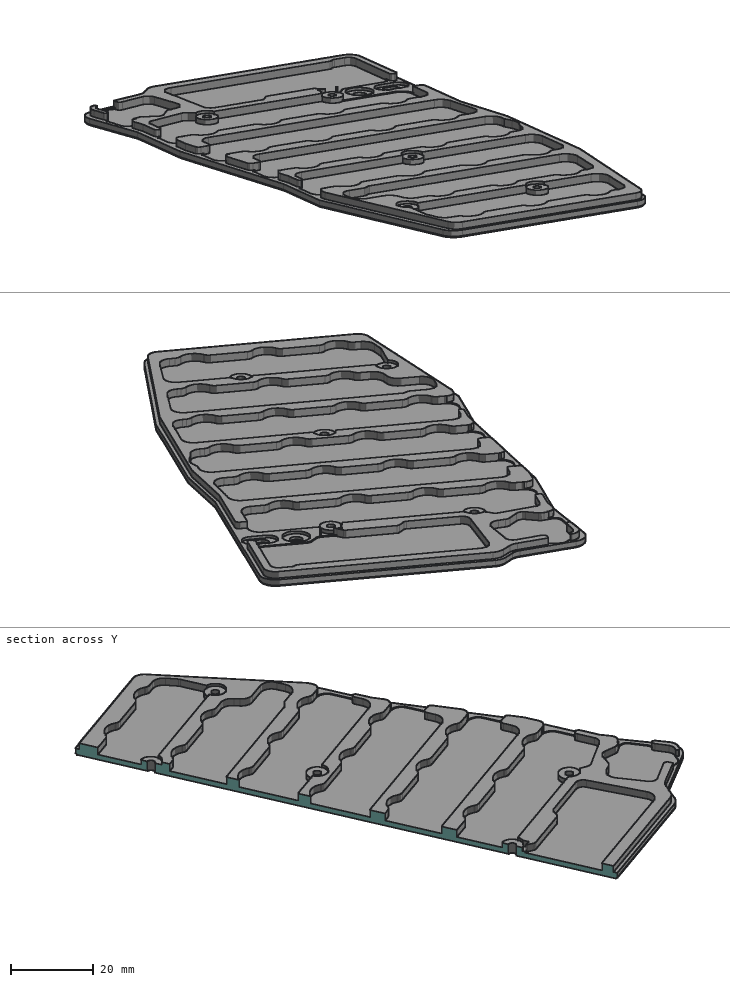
import cadquery as cq
import math


total_height = 3.6
ledge_z = 1.9
boss_z = 2.9
boss_root_z = 0.7
floor_z = 1.6
switch_seat_z = 1.2
bottom_chamfer = 0.5

length = 144.0
back_y = 86.2
left_back_y = 83.2
side_ledge = 1.0
front_ledge = 1.6
corner_radius = 4.0
pocket_radius = 3.0
bend_radius = 2.0
small_radius = 1.0
overcut = 2.9

first_column_x = 27.7
last_column_x = 123.0
column_count = 6
column_pitch = (last_column_x - first_column_x) / (column_count - 1)
column_width = 15.0
row_pitch = 18.0
stagger = 3.0
outer_column_row_y = 68.7
bump_half_width = 3.6
bump_reach = 3.6
bump_radius = 4.0

switch_x = 25.6
slot_y = 78.0
slot_width = 3.2
slot_length = 4.6
slot_seat_width = 4.9
slot_seat_length = 9.0
round_hole_y = 69.0
round_hole_diameter = 3.2
round_seat_diameter = 6.9

screw_positions = [(28.0, 59.8), (28.5, 23.8), (84.8, 48.1), (123.9, 59.9), (122.5, 23.8)]
boss_diameter = 5.5
screw_hole_diameter = 2.0


def rounded_outline(corners):
    """Closed outline through corners (x, y) or (x, y, radius), rounded where a radius is given."""
    entries = []
    count = len(corners)
    for i, corner in enumerate(corners):
        here = cq.Vector(corner[0], corner[1])
        radius = corner[2] if len(corner) == 3 else 0
        if radius == 0:
            entries.append((here, None, here))
            continue
        before = corners[i - 1]
        after = corners[(i + 1) % count]
        to_before = (cq.Vector(before[0], before[1]) - here).normalized()
        to_after = (cq.Vector(after[0], after[1]) - here).normalized()
        half_angle = to_before.getAngle(to_after) / 2
        tangent_length = radius / math.tan(half_angle)
        bisector = (to_before + to_after).normalized()
        middle = here + bisector * (radius / math.sin(half_angle) - radius)
        entries.append((here + to_before * tangent_length, middle, here + to_after * tangent_length))

    path = cq.Workplane("XY").moveTo(entries[0][2].x, entries[0][2].y)
    for start, middle, end in entries[1:] + entries[:1]:
        path = path.lineTo(start.x, start.y)
        if middle is not None:
            path = path.threePointArc((middle.x, middle.y), (end.x, end.y))
    return path.close()


def prism(corners, bottom_z, top_z):
    """Upright solid over a rounded outline."""
    return rounded_outline(corners).extrude(top_z - bottom_z).translate((0, 0, bottom_z))


def cutter(corners, bottom_z):
    """Solid that clears everything above bottom_z inside a rounded outline."""
    return prism(corners, bottom_z, total_height + overcut)


def cylinder(x, y, diameter, bottom_z, top_z):
    """Upright cylinder."""
    return cq.Workplane("XY", origin=(x, y, bottom_z)).circle(diameter / 2).extrude(top_z - bottom_z)


def round_cutter(x, y, diameter, bottom_z):
    """Upright cylinder that clears everything above bottom_z."""
    return cylinder(x, y, diameter, bottom_z, total_height + overcut)


def slot_cutter(x, y, slot_size, width, bottom_z):
    """Slot along Y that clears everything above bottom_z."""
    return cq.Workplane("XY", origin=(x, y, bottom_z)).slot2D(slot_size, width, 90).extrude(total_height)


front_line = [(28.5, 3.9), (48.5, 3.9), (86.3, 10.4), (103.1, 10.4)]
back_line = [(102.3, back_y), (68.1, back_y), (51.1, left_back_y)]

base_corners = [
    (0, left_back_y, corner_radius),
    (0, 23.5, corner_radius),
    (4.3, 19.3, corner_radius),
    (8.0, -0.75, corner_radius),
    *front_line,
    (length, 23.3, corner_radius),
    (length, 79.6, corner_radius),
    *back_line,
]
base = prism(base_corners, 0, ledge_z).faces("<Z").edges().chamfer(bottom_chamfer)

rim_radius = corner_radius - side_ledge
rim_right_x = length - side_ledge
rim_thumb_corner = (8.5, 1.2)
rim_front_right = (rim_right_x, 24.8)
rim_front_line = [(x, y + front_ledge) for x, y in front_line]
rim_corners = [
    (side_ledge, left_back_y - side_ledge, rim_radius),
    (side_ledge, 23.9, corner_radius),
    (5.0, 19.7, corner_radius),
    (*rim_thumb_corner, rim_radius),
    *rim_front_line,
    (*rim_front_right, rim_radius),
    (rim_right_x, 79.0, rim_radius),
    *[(x, y - side_ledge) for x, y in back_line],
]
result = base.union(prism(rim_corners, ledge_z, total_height))


def rim_front_y(x):
    """Y of the front side of the rim at x."""
    points = [rim_thumb_corner, *rim_front_line, rim_front_right]
    for (x0, y0), (x1, y1) in zip(points, points[1:]):
        if x <= x1:
            break
    return y0 + (y1 - y0) * (x - x0) / (x1 - x0)


def front_opening(left_x, right_x, inner_y):
    """Gap in the front rim; the rim ends beside it are rounded."""
    outer_left = left_x - overcut
    outer_right = right_x + overcut
    outside_y = rim_front_y(left_x) - overcut
    return cutter(
        [
            (left_x, inner_y),
            (left_x, rim_front_y(left_x), small_radius),
            (outer_left, rim_front_y(outer_left)),
            (outer_left, outside_y),
            (outer_right, outside_y),
            (outer_right, rim_front_y(outer_right)),
            (right_x, rim_front_y(right_x), bend_radius),
            (right_x, inner_y),
        ],
        ledge_z,
    )


def column_x(index):
    """X of the left wall of a column."""
    return first_column_x + index * column_pitch


def column_right_x(index):
    """X of the right wall of a column, between its bulges."""
    return column_x(index) + column_width


def bulged_wall(index, rows):
    """Corners of the right wall of a column, from back to front; middle columns sit farthest back."""
    steps_inward = min(index, column_count - 1 - index)
    back_row_y = outer_column_row_y + steps_inward * stagger
    wall_x = column_right_x(index)
    corners = []
    for row in range(rows):
        y = back_row_y - row * row_pitch
        corners += [
            (wall_x, y + bump_half_width, bend_radius),
            (wall_x + bump_reach, y, bump_radius),
            (wall_x, y - bump_half_width, bend_radius),
        ]
    return corners


def column_pocket(index, rows, back_left_y, back_right_y, front):
    """Pocket of a column: back wall, bulged right wall, then the given front corners."""
    corners = [
        (column_x(index), back_left_y, pocket_radius),
        (column_right_x(index), back_right_y, pocket_radius),
        *bulged_wall(index, rows),
        *front,
    ]
    return cutter(corners, floor_z)


def stepped_front(index, foot_y, step_x, front_y):
    """Front corners of a column whose left part ends at a rim foot."""
    return [
        (column_right_x(index), front_y, pocket_radius),
        (step_x, front_y, small_radius),
        (step_x, foot_y, small_radius),
        (column_x(index), foot_y, pocket_radius),
    ]


first_right_x = column_right_x(0)
first_back_left_x = 30.2
first_back_y = 79.4
first_step_x = 34.5
first_column = [
    (first_back_left_x, first_back_y, pocket_radius),
    (first_right_x, first_back_y, pocket_radius),
    *bulged_wall(0, 4),
    (first_right_x, 5.6, pocket_radius),
    (first_step_x, 5.6, small_radius),
    (first_step_x, 7.3, small_radius),
    (27.4, 7.3, bend_radius),
    (24.8, 19.5, bend_radius),
    (first_column_x, 23.0),
    (first_column_x, 59.8),
    (first_back_left_x, 59.8),
]
result = result.cut(cutter(first_column, floor_z))
result = result.cut(front_opening(first_step_x, first_right_x, 8.0))

open_columns = [
    (1, 80.1, 82.2, 10.1, 53.0, 6.9),
    (2, 83.2, 83.2, 13.0, 72.0, 10.0),
    (3, 83.2, 83.2, 13.4, 91.0, 11.7),
]
opening_overlap = 2.5
for index, back_left_y, back_right_y, foot_y, step_x, front_y in open_columns:
    front = stepped_front(index, foot_y, step_x, front_y)
    result = result.cut(column_pocket(index, 4, back_left_y, back_right_y, front))
    result = result.cut(front_opening(step_x, column_right_x(index), front_y + opening_overlap))

back_bulge = [(70.0, 82.1), (70.0, 83.2), (73.7, 84.8, 4.3), (77.5, 83.2), (77.5, 82.1)]
result = result.cut(cutter(back_bulge, floor_z))

fifth_front = [
    (column_right_x(4), 26.5, pocket_radius),
    (113.2, 24.8, pocket_radius),
    (113.2, 14.8, pocket_radius),
    (104.9, 14.8, pocket_radius),
    (104.9, 22.5, small_radius),
    (column_x(4), 23.9, small_radius),
]
result = result.cut(column_pocket(4, 3, 81.8, 79.8, fifth_front))

sixth_front = [
    (column_right_x(5), 24.5, pocket_radius),
    (132.5, 22.9, bend_radius),
    (column_x(5), 22.9),
]
result = result.cut(column_pocket(5, 3, 79.2, 77.2, sixth_front))

left_pocket = [
    (3.3, 80.2, bend_radius),
    (21.6, 80.2, bend_radius),
    (21.6, 66.5, bend_radius),
    (24.5, 63.8, bend_radius),
    (24.5, 59.5, small_radius),
    (22.8, 57.6, small_radius),
    (22.8, 44.1, small_radius),
    (24.9, 42.0, small_radius),
    (24.9, 26.2, bend_radius),
    (4.2, 24.9, pocket_radius),
    (4.2, 73.9, small_radius),
    (3.3, 74.9, small_radius),
]
result = result.cut(cutter(left_pocket, floor_z))

thumb_pocket = [
    (7.0, 20.2, bend_radius),
    (20.0, 22.9, pocket_radius),
    (20.7, 17.1, bend_radius),
    (24.8, 13.4, bend_radius),
    (22.5, 8.5, bend_radius),
    (23.5, 3.9, bend_radius),
    (15.8, 2.5, small_radius),
    (15.3, 4.0, small_radius),
    (10.0, 3.2, bend_radius),
    (6.9, 6.3, bend_radius),
    (7.5, 10.4),
    (9.1, 10.4, small_radius),
]
thumb_left_opening = [(4.3, 10.4), (9.0, 10.4), (9.0, 4.5), (4.3, 4.5)]
result = result.cut(cutter(thumb_pocket, floor_z))
result = result.cut(front_opening(15.5, 23.2, 6.5))
result = result.cut(cutter(thumb_left_opening, ledge_z))

switch_area = [
    (20.2, 86.4),
    (20.2, 82.2),
    (21.9, 82.2, 0.9),
    (21.9, 80.2, 0.9),
    (19.3, 80.2),
    (19.3, 66.3),
    (24.5, 63.4),
    (24.5, 57.6),
    (31.0, 57.6),
    (31.0, 76.3),
    (33.5, 76.3),
    (33.5, 82.2, small_radius),
    (35.7, 82.2),
    (35.7, 86.4),
]
kept_rib = [(21.6, 43.2), (28.8, 43.2), (28.8, 57.8), (21.6, 57.8)]
result = result.cut(cutter(switch_area, ledge_z).cut(cutter(kept_rib, 0)))

result = result.cut(slot_cutter(switch_x, slot_y, slot_seat_length, slot_seat_width, switch_seat_z))
result = result.cut(slot_cutter(switch_x, slot_y, slot_length, slot_width, 0))
result = result.cut(round_cutter(switch_x, round_hole_y, round_seat_diameter, switch_seat_z))
result = result.cut(round_cutter(switch_x, round_hole_y, round_hole_diameter, 0))

chamfer_growth = 2 * bottom_chamfer
round_chamfer = (
    cq.Workplane("XY", origin=(switch_x, round_hole_y, 0))
    .circle((round_hole_diameter + chamfer_growth) / 2)
    .workplane(offset=bottom_chamfer)
    .circle(round_hole_diameter / 2)
    .loft()
)
slot_chamfer = (
    cq.Workplane("XY", origin=(switch_x, slot_y, 0))
    .slot2D(slot_length + chamfer_growth, slot_width + chamfer_growth, 90)
    .workplane(offset=bottom_chamfer)
    .slot2D(slot_length, slot_width, 90)
    .loft()
)
result = result.cut(round_chamfer).cut(slot_chamfer)

for x, y in screw_positions:
    result = result.cut(round_cutter(x, y, boss_diameter, boss_z))
    result = result.union(cylinder(x, y, boss_diameter, boss_root_z, boss_z))
    result = result.cut(round_cutter(x, y, screw_hole_diameter, 0))